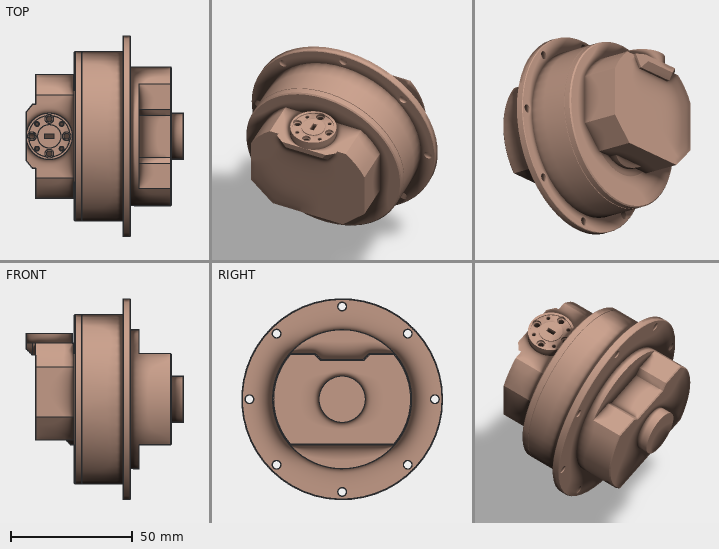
import cadquery as cq
import math


bevel_angle = 45

cover_diameter = 69.85
cover_thickness = 3.05
cover_front_chamfer = 0.5
drum_diameter = cover_diameter
drum_length = 16.92
seam_groove_width = 0.25
seam_groove_depth = 0.3
flange_diameter = 82.55
flange_thickness = 3.175
flange_edge_chamfer = 0.25
bolt_count = 8
bolt_circle_diameter = 76.2
bolt_hole_diameter = 3.45

boss_diameter = 57.15
boss_shoulder_length = 3.5
boss_length = 16.9
boss_flat_height = 18.8
boss_end_chamfer = 0.45
groove_top_half_width = 11.1
groove_depth = 2.5
port_diameter = 19.05
stub_length = 4.83

block_front = -15.875
block_standoff = 0.15
block_half_width = 25.5
block_top = 23.1
block_bottom = -16.8
block_corner_radius = 28.7
block_chamfer_width = 9.7
block_chamfer_height = 9.5

recess_radius = 22.1
recess_depth = 0.35
spigot_radius = 18.8
spigot_front = -8.0
spigot_length = 1.35

port_height = 4.0
port_top = block_top + port_height
port_overhang = 3.86
port_x = block_front - port_overhang + port_diameter / 2
tab_top_half_width = 13.2
tab_bottom_half_width = 9.5
tab_height = 5.0
tab_chamfer = 2.6

port_ring_outer_diameter = 17.05
port_ring_inner_diameter = 9.6
port_ring_depth = 0.5
port_hole_circle_diameter = 14.29
port_hole_pitch = 90
screw_hole_diameter = 2.4
counterbore_diameter = 3.6
counterbore_depth = 1.5
screw_hole_depth = 6.0
drill_point_angle = 118.0
pin_hole_diameter = 1.5
pin_countersink_diameter = 1.95
pin_hole_depth = 4.0
waveguide_length = 3.76
waveguide_width = 1.88
waveguide_depth = 8.0

drum_start = cover_thickness
flange_start = drum_start + drum_length
boss_start = flange_start + flange_thickness
stub_start = boss_start + boss_length


def disc(start, length, diameter):
    """Cylinder along +X from the given station."""
    return cq.Workplane("YZ", origin=(start, 0, 0)).circle(diameter / 2).extrude(length)


def polar(diameter, angle):
    """Point on a circle of the given diameter at an angle in degrees."""
    turn = math.radians(angle)
    return (diameter / 2 * math.cos(turn), diameter / 2 * math.sin(turn))


def make_housing():
    """Cover with its recess, drum with the seam groove behind the cover, and bolted flange."""
    cover = disc(0, cover_thickness, cover_diameter).faces("<X").chamfer(cover_front_chamfer)
    recess = (
        cq.Workplane("YZ")
        .circle(recess_radius)
        .extrude(recess_depth, taper=bevel_angle)
    )
    drum = disc(drum_start, drum_length, drum_diameter)
    seam_groove = disc(drum_start, seam_groove_width, drum_diameter).cut(
        disc(drum_start, seam_groove_width, drum_diameter - 2 * seam_groove_depth)
    )
    drum = drum.cut(seam_groove)
    flange = disc(flange_start, flange_thickness, flange_diameter)
    flange = flange.faces("<X or >X").edges().chamfer(flange_edge_chamfer)
    bolt_points = [polar(bolt_circle_diameter, 360 / bolt_count * i) for i in range(bolt_count)]
    bolt_holes = (
        cq.Workplane("YZ", origin=(flange_start, 0, 0))
        .pushPoints(bolt_points)
        .circle(bolt_hole_diameter / 2)
        .extrude(flange_thickness)
    )
    return cover.cut(recess).union(drum).union(flange.cut(bolt_holes))


def make_boss():
    """Round shoulder, boss with flats and groove, and the end stub."""
    shoulder = disc(boss_start, boss_shoulder_length, boss_diameter)
    flatted = disc(boss_start, boss_length, boss_diameter).intersect(
        cq.Workplane("YZ", origin=(boss_start, 0, 0))
        .rect(boss_diameter, 2 * boss_flat_height)
        .extrude(boss_length)
    )
    floor_half_width = groove_top_half_width - groove_depth
    groove = (
        cq.Workplane("YZ", origin=(boss_start + boss_shoulder_length, 0, 0))
        .moveTo(-groove_top_half_width, boss_flat_height)
        .lineTo(-floor_half_width, boss_flat_height - groove_depth)
        .lineTo(floor_half_width, boss_flat_height - groove_depth)
        .lineTo(groove_top_half_width, boss_flat_height)
        .close()
        .extrude(boss_length)
    )
    flatted = flatted.cut(groove).faces(">X").chamfer(boss_end_chamfer)
    stub = disc(stub_start, stub_length, port_diameter)
    return shoulder.union(flatted).union(stub)


def make_spigot():
    """Cylinder whose lower front side is cut by a plane at 45 degrees."""
    spigot = disc(spigot_front, recess_depth - spigot_front, 2 * spigot_radius)
    cut_size = -spigot_length - spigot_front
    wedge = (
        cq.Workplane("XZ")
        .moveTo(-spigot_length, -spigot_radius)
        .lineTo(spigot_front, -spigot_radius)
        .lineTo(spigot_front, -spigot_radius + cut_size)
        .close()
        .extrude(spigot_radius, both=True)
    )
    return spigot.cut(wedge)


def make_block():
    """Block with rounded upper corners and bevelled lower ones."""
    arc_top_y = math.sqrt(block_corner_radius**2 - block_top**2)
    arc_side_z = math.sqrt(block_corner_radius**2 - block_half_width**2)
    arc_middle_angle = (math.atan2(block_top, arc_top_y) + math.atan2(arc_side_z, block_half_width)) / 2
    middle_y = block_corner_radius * math.cos(arc_middle_angle)
    middle_z = block_corner_radius * math.sin(arc_middle_angle)
    foot_y = block_half_width - block_chamfer_width
    foot_z = block_bottom + block_chamfer_height
    return (
        cq.Workplane("YZ", origin=(block_front, 0, 0))
        .moveTo(-arc_top_y, block_top)
        .lineTo(arc_top_y, block_top)
        .threePointArc((middle_y, middle_z), (block_half_width, arc_side_z))
        .lineTo(block_half_width, foot_z)
        .lineTo(foot_y, block_bottom)
        .lineTo(-foot_y, block_bottom)
        .lineTo(-block_half_width, foot_z)
        .lineTo(-block_half_width, arc_side_z)
        .threePointArc((-middle_y, middle_z), (-arc_top_y, block_top))
        .close()
        .extrude(-block_standoff - block_front)
    )


def make_tab():
    """Tapered tab on the block front, with its free edges chamfered."""
    tab_bottom = block_top - tab_height
    tab = (
        cq.Workplane("YZ", origin=(block_front, 0, 0))
        .moveTo(-tab_top_half_width, block_top)
        .lineTo(tab_top_half_width, block_top)
        .lineTo(tab_bottom_half_width, tab_bottom)
        .lineTo(-tab_bottom_half_width, tab_bottom)
        .close()
        .extrude(-port_overhang)
    )
    return tab.faces("<X").edges("not >Z").chamfer(tab_chamfer)


def make_port():
    """Round port standing on the block and the tab."""
    return (
        cq.Workplane("XY", origin=(port_x, 0, block_top))
        .circle(port_diameter / 2)
        .extrude(port_height)
    )


def port_face_cuts():
    """Everything sunk into the top of the port, as one body to subtract."""
    face = cq.Workplane("XY", origin=(port_x, 0, port_top))
    ring = (
        face.circle(port_ring_outer_diameter / 2)
        .circle(port_ring_inner_diameter / 2)
        .extrude(-port_ring_depth)
    )
    waveguide = face.rect(waveguide_length, waveguide_width).extrude(-waveguide_depth)
    screw_points = [polar(port_hole_circle_diameter, port_hole_pitch * i) for i in range(4)]
    pin_points = [polar(port_hole_circle_diameter, port_hole_pitch * (i + 0.5)) for i in range(4)]
    counterbores = face.pushPoints(screw_points).circle(counterbore_diameter / 2).extrude(-counterbore_depth)
    screw_holes = face.pushPoints(screw_points).circle(screw_hole_diameter / 2).extrude(-screw_hole_depth)
    pin_holes = face.pushPoints(pin_points).circle(pin_hole_diameter / 2).extrude(-pin_hole_depth)
    pin_countersinks = (
        face.workplane(offset=-port_ring_depth)
        .pushPoints(pin_points)
        .circle(pin_countersink_diameter / 2)
        .extrude(-(pin_countersink_diameter - pin_hole_diameter) / 2, taper=bevel_angle)
    )
    point_depth = screw_hole_diameter / 2 / math.tan(math.radians(drill_point_angle / 2))
    drill_point = cq.Workplane(
        cq.Solid.makeCone(
            screw_hole_diameter / 2,
            0,
            point_depth,
            pnt=cq.Vector(port_x - port_hole_circle_diameter / 2, 0, port_top - screw_hole_depth),
            dir=cq.Vector(0, 0, -1),
        )
    )
    cuts = ring
    for cut in (waveguide, counterbores, screw_holes, pin_holes, pin_countersinks, drill_point):
        cuts = cuts.union(cut)
    return cuts


solid_body = make_housing()
for piece in (make_boss(), make_spigot(), make_block(), make_tab(), make_port()):
    solid_body = solid_body.union(piece)

result = solid_body.cut(port_face_cuts())